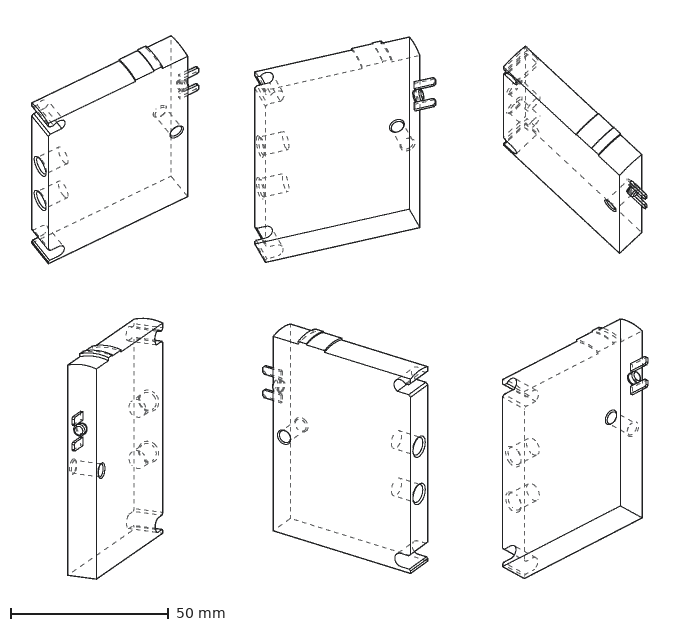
import cadquery as cq
import math

width = 10.0
body_depth = 52.05
total_depth = 59.0
total_height = 71.8
crown_rise = 0.8

main_crest = 70.8
step_crest = 71.45
step_front = 32.6
ridge_front = 39.5
ridge_back = 42.6

upper_notch_radius = 2.4
upper_notch_y = 3.9
upper_notch_z = 66.3
upper_notch_floor_z = 64.2
upper_notch_lip_z = 67.7
lower_notch_radius = 2.4
lower_notch_y = 3.6
lower_notch_z = 3.8
mouth_chamfer = 0.7
bottom_ledge_chamfer = 0.5

port_diameter = 5.9
port_mouth_diameter = 7.05
port_depth = 8.6
port_heights = (26.4, 43.45)
cross_hole_diameter = 4.2
cross_hole_mouth_diameter = 5
cross_hole_y = 47.9
cross_hole_z = 35.0

contact_thickness = 0.85
contact_height = 2.8
contact_chamfer = 0.6
contact_centers_z = (45.4, 53.85)
pin_diameter = 3.9
pin_neck_diameter = 3.6
pin_neck_length = 0.4
pin_length = 2.6
pin_chamfer = 0.5
pin_z = (contact_centers_z[0] + contact_centers_z[1]) / 2


def arched_block(y_front, y_back, crest):
    """Full-width block from the bottom face up to an arched top."""
    shoulder = crest - crown_rise
    return (
        cq.Workplane("XZ", origin=(0, y_front, 0))
        .moveTo(-width / 2, 0)
        .lineTo(width / 2, 0)
        .lineTo(width / 2, shoulder)
        .threePointArc((0, crest), (-width / 2, shoulder))
        .close()
        .extrude(y_front - y_back)
    )


def side_box(y_front, y_back, z_bottom, z_top):
    """Box across the full width, given by its Y and Z limits."""
    return cq.Workplane("XY").box(
        width, y_back - y_front, z_top - z_bottom, centered=(True, False, False)
    ).translate((0, y_front, z_bottom))


def side_cylinder(y, z, radius):
    """Cylinder along X across the full width."""
    return cq.Workplane("YZ", origin=(-width / 2, y, z)).circle(radius).extrude(width)


def notch(y, z, radius, floor, mouth_top):
    """Round-ended notch with a flat floor, open to the front face."""
    round_end = side_cylinder(y, z, radius).intersect(side_box(0, y + radius, floor, z + radius))
    mouth = side_box(0, y, floor, mouth_top)
    return round_end.union(mouth)


def mouth_edges(body, z):
    """Front edge of a notch at height z."""
    half = 0.1
    return body.edges(
        cq.selectors.BoxSelector((-width, -half, z - half), (width, half, z + half))
    )


def countersunk_cutter(plane, origin, diameter, mouth_diameter, depth):
    """Round hole cutter with a 45 degree chamfer at its start."""
    chamfer = (mouth_diameter - diameter) / 2
    hole = cq.Workplane(plane, origin=origin).circle(diameter / 2).extrude(depth)
    mouth = (
        cq.Workplane(plane, origin=origin)
        .circle(mouth_diameter / 2)
        .extrude(math.copysign(chamfer, depth), taper=45)
    )
    return hole.union(mouth)


body = arched_block(0, body_depth, main_crest)
body = body.union(arched_block(step_front, ridge_front, step_crest))
body = body.union(arched_block(ridge_front, ridge_back, total_height))

lower_notch_floor_z = lower_notch_z - lower_notch_radius
lower_notch_top_z = lower_notch_z + lower_notch_radius
upper_notch = notch(
    upper_notch_y, upper_notch_z, upper_notch_radius, upper_notch_floor_z, upper_notch_lip_z
)
lower_notch = notch(
    lower_notch_y, lower_notch_z, lower_notch_radius, lower_notch_floor_z, lower_notch_top_z
)
body = body.cut(upper_notch).cut(lower_notch)
for edge_z, chamfer in (
    (upper_notch_lip_z, mouth_chamfer),
    (upper_notch_floor_z, mouth_chamfer),
    (lower_notch_top_z, mouth_chamfer),
    (lower_notch_floor_z, bottom_ledge_chamfer),
):
    body = mouth_edges(body, edge_z).chamfer(chamfer)

for port_z in port_heights:
    body = body.cut(
        countersunk_cutter("XZ", (0, 0, port_z), port_diameter, port_mouth_diameter, -port_depth)
    )

for side in (-1, 1):
    body = body.cut(
        countersunk_cutter(
            "YZ",
            (side * width / 2, cross_hole_y, cross_hole_z),
            cross_hole_diameter,
            cross_hole_mouth_diameter,
            -side * width,
        )
    )

contact_length = total_depth - body_depth
for contact_z in contact_centers_z:
    contact = (
        cq.Workplane("XY")
        .box(contact_thickness, contact_length, contact_height, centered=(True, False, True))
        .edges(">Y and |X")
        .chamfer(contact_chamfer)
        .translate((0, body_depth, contact_z))
    )
    body = body.union(contact)

neck = (
    cq.Workplane("XZ", origin=(0, body_depth, pin_z))
    .circle(pin_neck_diameter / 2)
    .extrude(-pin_neck_length)
)
pin_head = (
    cq.Workplane("XZ", origin=(0, body_depth + pin_neck_length, pin_z))
    .circle(pin_diameter / 2)
    .extrude(pin_neck_length - pin_length)
    .faces(">Y")
    .chamfer(pin_chamfer)
)
result = body.union(neck).union(pin_head)